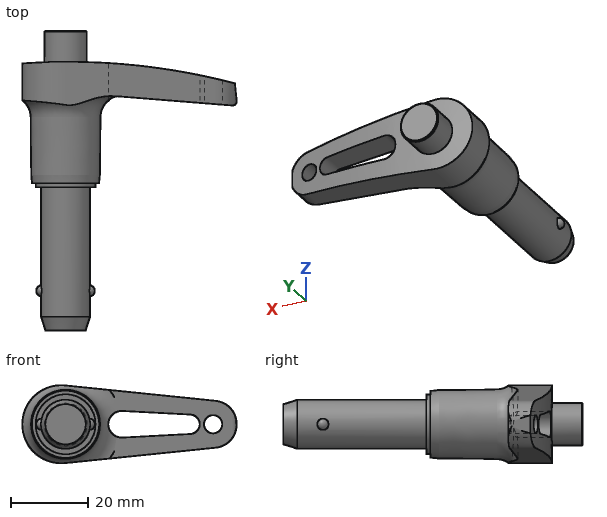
import cadquery as cq
import math


pin_bevel_height = 3.65
ball_height = 10.3
collar_bottom = 37.15
sleeve_bottom = 38.15
sleeve_bevel_top = 40.4
flare_bottom = 55.4
head_top = 69.7
button_top = 77.7

pin_tip_radius = 5.2
pin_radius = 6.4
collar_radius = 7.8
sleeve_end_radius = 8.7
sleeve_bevel_radius = 8.9
sleeve_radius = 9.1
button_radius = 5.5
button_chamfer = 0.3
flare_fillet = 5.4

ball_radius = 1.5
ball_reach = 7.6

head_center = -1.1
head_width = 20.3
head_radius = head_width / 2
tip_center = 38.2
tip_radius = 6.15
tip_end = tip_center + tip_radius

crown_apex = 0.8
crown_radius = 168.65
underside_at_axis = 61.8
underside_slope = -0.08
tip_rounding = 1.4
tip_top_setback = 0.5

slot_near_center = 14.5
slot_near_radius = 3.4
slot_far_center = 32.25
slot_far_radius = 2.5
hole_radius = 2.3


def tapered_bar(near_x, near_radius, far_x, far_radius):
    """Prism along Y, up to the head top, around two circles and their outer tangents."""
    sine = (near_radius - far_radius) / (far_x - near_x)
    cosine = math.sqrt(1 - sine**2)
    near_tangent = (near_x + near_radius * sine, near_radius * cosine)
    far_tangent = (far_x + far_radius * sine, far_radius * cosine)
    return (
        cq.Workplane("XZ")
        .moveTo(*near_tangent)
        .lineTo(*far_tangent)
        .threePointArc((far_x + far_radius, 0), (far_tangent[0], -far_tangent[1]))
        .lineTo(near_tangent[0], -near_tangent[1])
        .threePointArc((near_x - near_radius, 0), near_tangent)
        .close()
        .extrude(-head_top)
    )


def crown_height(x):
    """Height of the arched top of the handle at a given X."""
    return head_top - crown_radius + math.sqrt(crown_radius**2 - (x - crown_apex) ** 2)


def underside_height(x):
    """Height of the sloping underside of the arm at a given X."""
    return underside_at_axis + underside_slope * x


def handle_profile():
    """Side profile of the handle, spanning its full width."""
    head_end = head_center - head_radius
    crown_end = tip_end - tip_top_setback
    underside_end = tip_end - tip_rounding
    crown_middle = (head_end + crown_end) / 2
    return (
        cq.Workplane("XY", origin=(0, 0, -head_radius))
        .moveTo(head_end, underside_height(head_end))
        .lineTo(head_end, crown_height(head_end))
        .threePointArc((crown_middle, crown_height(crown_middle)), (crown_end, crown_height(crown_end)))
        .lineTo(tip_end, underside_height(tip_end) + tip_rounding)
        .tangentArcPoint((underside_end, underside_height(underside_end)), relative=False)
        .close()
        .extrude(head_width)
    )


def flare():
    """Concave flare from the sleeve out to the underside of the handle."""
    rim_radius = sleeve_radius + flare_fillet
    rim_height = flare_bottom + flare_fillet
    arc_offset = flare_fillet * math.sqrt(0.5)
    fill_top = underside_height(head_center - head_radius)
    return (
        cq.Workplane("XY")
        .moveTo(0, flare_bottom)
        .lineTo(sleeve_radius, flare_bottom)
        .threePointArc((rim_radius - arc_offset, flare_bottom + arc_offset), (rim_radius, rim_height))
        .lineTo(rim_radius, fill_top)
        .lineTo(0, fill_top)
        .close()
        .revolve(360, (0, 0), (0, 1))
    )


def pin_and_button():
    """Turned body: bevelled pin, collar, tapered sleeve and release button."""
    outline = [
        (0, 0),
        (pin_tip_radius, 0),
        (pin_radius, pin_bevel_height),
        (pin_radius, collar_bottom),
        (collar_radius, collar_bottom),
        (collar_radius, sleeve_bottom),
        (sleeve_end_radius, sleeve_bottom),
        (sleeve_bevel_radius, sleeve_bevel_top),
        (sleeve_radius, flare_bottom),
        (button_radius, flare_bottom),
        (button_radius, button_top - button_chamfer),
        (button_radius - button_chamfer, button_top),
        (0, button_top),
    ]
    return cq.Workplane("XY").polyline(outline).close().revolve(360, (0, 0), (0, 1))


def locking_balls():
    """Two balls standing out of opposite sides of the pin."""
    offset = ball_reach - ball_radius
    centers = [(-offset, ball_height), (offset, ball_height)]
    return cq.Workplane("XY").pushPoints(centers).sphere(ball_radius)


handle_outline = tapered_bar(head_center, head_radius, tip_center, tip_radius)
handle = handle_profile().union(flare()).intersect(handle_outline)

slot = tapered_bar(slot_near_center, slot_near_radius, slot_far_center, slot_far_radius)
hole = cq.Workplane("XZ").center(tip_center, 0).circle(hole_radius).extrude(-head_top)
handle = handle.cut(slot).cut(hole)

result = handle.union(pin_and_button()).union(locking_balls())